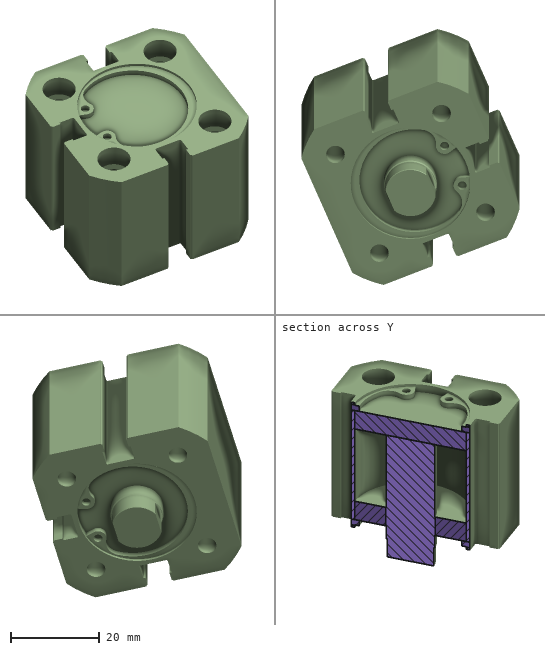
import cadquery as cq
import math


side = 41.0
height = 32.5
corner_diameter = 50.92
bore_radius = 13.55

hole_spacing = 26.0
hole_diameter = 4.22
counterbore_diameter = 7.5
counterbore_depth = 5.2

slot_depth = 5.95
slot_width = 6.6
mouth_width = 5.6
mouth_depth = 2.38
slot_rounding = 0.33
slot_angles = (0, 90, -90)

ring_outer_radius = 14.45
ring_thickness = 1.35
ring_recess = 0.65
ring_inner_radius = 12.5
ring_inner_center = (0.0, -1.02)
ear_center = (5.2, -10.5)
ear_radius = 1.93
ear_hole_diameter = 2.0
ear_blend_radius = 3.5

cover_thickness = 4.9
cover_outer_gap = ring_recess + ring_thickness

rod_radius = 6.0
rod_projection = 6.0
shoulder_projection = 1.35
shoulder_chamfer = 0.25
neck_radius = 5.75
neck_chamfer = 0.12
flat_distance = 10.0
flat_length = 4.0


def point_on_circle(center, radius, angle):
    """Point at an angle in radians, measured from +X."""
    return (center[0] + radius * math.cos(angle), center[1] + radius * math.sin(angle))


def direction(start, end):
    return math.atan2(end[1] - start[1], end[0] - start[0])


def mirrored(point):
    return (-point[0], point[1])


def make_slot_cutter():
    """T-slot in the -Y face, with a rounded mouth and rounded floor corners."""
    face_y = -side / 2
    floor_y = face_y + slot_depth
    step_y = face_y + mouth_depth
    half_mouth = mouth_width / 2
    half_slot = slot_width / 2
    return (
        cq.Workplane("XY")
        .moveTo(0, face_y)
        .lineTo(half_mouth + slot_rounding, face_y)
        .radiusArc((half_mouth, face_y + slot_rounding), -slot_rounding)
        .lineTo(half_mouth, step_y)
        .lineTo(half_slot, step_y)
        .lineTo(half_slot, floor_y - slot_rounding)
        .radiusArc((half_slot - slot_rounding, floor_y), -slot_rounding)
        .lineTo(0, floor_y)
        .mirrorY()
        .extrude(height)
    )


def make_ring():
    """Retaining ring with its gap toward -Y, lying on z = 0."""
    axis = (0.0, 0.0)

    ear_distance = math.hypot(*ear_center)
    end_angle = direction(axis, ear_center) - math.asin(ear_radius / ear_distance)
    end_outer = point_on_circle(axis, ring_outer_radius, end_angle)
    end_tangent = point_on_circle(axis, math.sqrt(ear_distance**2 - ear_radius**2), end_angle)

    to_inner = ring_inner_radius - ear_blend_radius
    to_ear = ear_radius + ear_blend_radius
    inner_to_ear = math.dist(ring_inner_center, ear_center)
    blend_turn = math.acos((to_inner**2 + inner_to_ear**2 - to_ear**2) / (2 * to_inner * inner_to_ear))
    blend_angle = direction(ring_inner_center, ear_center) + blend_turn
    blend_center = point_on_circle(ring_inner_center, to_inner, blend_angle)

    inner_end = point_on_circle(ring_inner_center, ring_inner_radius, blend_angle)
    ear_to_blend = direction(ear_center, blend_center)
    ear_end = point_on_circle(ear_center, ear_radius, ear_to_blend)
    blend_middle_angle = (blend_angle + ear_to_blend - math.pi) / 2
    blend_middle = point_on_circle(blend_center, ear_blend_radius, blend_middle_angle)
    tangent_angle = direction(ear_center, end_tangent) % (2 * math.pi)
    ear_middle = point_on_circle(ear_center, ear_radius, (tangent_angle + ear_to_blend) / 2)
    outer_top = (0, ring_outer_radius)
    inner_top = (0, ring_inner_center[1] + ring_inner_radius)

    ring = (
        cq.Workplane("XY")
        .moveTo(*end_outer)
        .lineTo(*end_tangent)
        .threePointArc(ear_middle, ear_end)
        .threePointArc(blend_middle, inner_end)
        .threePointArc(inner_top, mirrored(inner_end))
        .threePointArc(mirrored(blend_middle), mirrored(ear_end))
        .threePointArc(mirrored(ear_middle), mirrored(end_tangent))
        .lineTo(*mirrored(end_outer))
        .threePointArc(outer_top, end_outer)
        .close()
        .extrude(ring_thickness)
    )
    ear_holes = (
        cq.Workplane("XY")
        .pushPoints([ear_center, mirrored(ear_center)])
        .circle(ear_hole_diameter / 2)
        .extrude(ring_thickness)
    )
    return ring.cut(ear_holes)


def make_housing(rings):
    body = cq.Workplane("XY").rect(side, side).extrude(height)
    body = body.intersect(cq.Workplane("XY").circle(corner_diameter / 2).extrude(height))
    body = body.cut(cq.Workplane("XY").circle(bore_radius).extrude(height))

    slot_cutter = make_slot_cutter()
    for angle in slot_angles:
        body = body.cut(slot_cutter.rotate((0, 0, 0), (0, 0, 1), angle))

    for ring in rings:
        body = body.cut(ring)

    return (
        body.faces(">Z")
        .workplane(origin=(0, 0, height))
        .rect(hole_spacing, hole_spacing, forConstruction=True)
        .vertices()
        .cboreHole(hole_diameter, counterbore_diameter, counterbore_depth)
    )


def make_head_cover():
    top = height - cover_outer_gap
    return cq.Workplane("XY").workplane(offset=top).circle(bore_radius).extrude(-cover_thickness)


def make_rod_cover():
    return (
        cq.Workplane("XY")
        .workplane(offset=cover_outer_gap)
        .circle(bore_radius)
        .circle(rod_radius)
        .extrude(cover_thickness)
    )


def make_rod():
    """Rod reaching from the head cover out through the rod cover, with two flats on its neck."""
    rod_top = height - cover_outer_gap - cover_thickness
    shank = (
        cq.Workplane("XY")
        .workplane(offset=-shoulder_projection)
        .circle(rod_radius)
        .extrude(rod_top + shoulder_projection)
        .faces("<Z")
        .chamfer(shoulder_chamfer)
    )
    neck = (
        cq.Workplane("XY")
        .workplane(offset=-rod_projection)
        .circle(neck_radius)
        .extrude(rod_projection - shoulder_projection)
        .faces("<Z")
        .chamfer(neck_chamfer)
    )

    flat_y = flat_distance / 2
    flat_rise = neck_radius - flat_y
    flat_top = flat_length - rod_projection
    flat_cutter = (
        cq.Workplane("YZ")
        .moveTo(flat_y, -rod_projection)
        .lineTo(flat_y, flat_top)
        .lineTo(neck_radius, flat_top + flat_rise)
        .lineTo(neck_radius, -rod_projection)
        .close()
        .extrude(neck_radius, both=True)
    )
    neck = neck.cut(flat_cutter).cut(flat_cutter.mirror("XZ"))
    return shank.union(neck)


ring_levels = (ring_recess, height - cover_outer_gap)
rings = [make_ring().translate((0, 0, level)) for level in ring_levels]
housing = make_housing(rings)
head_cover = make_head_cover()
rod_cover = make_rod_cover()
rod = make_rod()

result = cq.Compound.makeCompound(
    [
        housing.val(),
        head_cover.val(),
        rod_cover.val(),
        rod.val(),
        *[ring.val() for ring in rings],
    ]
)